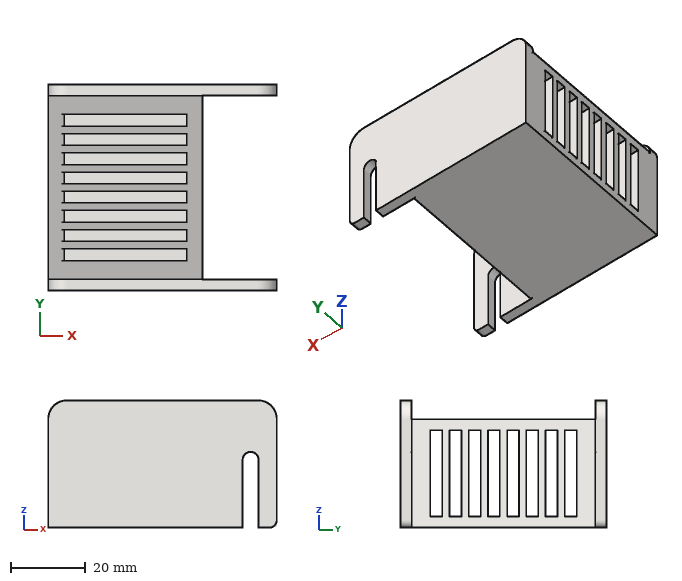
import cadquery as cq

length = 61.0
width = 55.0
height = 34.0
plate_thickness = 3.0
top_corner_radius = 5.0
bottom_corner_radius = 2.0

mount_slot_width = 4.2
mount_slot_center_x = 54.0
mount_slot_top_z = 20.2

wedge_length = 41.2
wedge_height = height - top_corner_radius

vent_count = 8
vent_width = 3.1
vent_pitch = 5.12
vent_bottom_z = 3.0
vent_top_z = 26.0


def make_side_plate(y_start):
    """Rounded plate standing in the XZ plane, occupying y_start to y_start + plate_thickness."""
    plate = cq.Workplane("XY").box(length, plate_thickness, height, centered=False)
    plate = plate.edges("|Y and >Z").fillet(top_corner_radius)
    plate = plate.edges("|Y and >X and <Z").fillet(bottom_corner_radius)
    return plate.translate((0, y_start, 0))


def make_wedge():
    """Right-triangular block, tall at X = 0 and running down to the base, across the full width."""
    return (
        cq.Workplane("XZ")
        .polyline([(0, 0), (wedge_length, 0), (0, wedge_height)])
        .close()
        .extrude(-width)
    )


def make_mount_slot():
    """Round-topped cutter, open at the base, crossing both plates."""
    radius = mount_slot_width / 2
    arc_z = mount_slot_top_z - radius
    return (
        cq.Workplane("XZ")
        .moveTo(mount_slot_center_x - radius, 0)
        .lineTo(mount_slot_center_x - radius, arc_z)
        .threePointArc(
            (mount_slot_center_x, mount_slot_top_z),
            (mount_slot_center_x + radius, arc_z),
        )
        .lineTo(mount_slot_center_x + radius, 0)
        .close()
        .extrude(-width)
    )


def make_vents():
    """Upright rectangular cutters, evenly spaced about mid-width, passing through the block along X."""
    first_y = width / 2 - vent_pitch * (vent_count - 1) / 2
    vents = cq.Workplane("XY")
    for index in range(vent_count):
        vent = cq.Workplane("XY").box(
            wedge_length, vent_width, vent_top_z - vent_bottom_z, centered=(False, True, False)
        )
        vents = vents.add(vent.translate((0, first_y + index * vent_pitch, vent_bottom_z)))
    return vents.combine()


result = (
    make_side_plate(0)
    .union(make_side_plate(width - plate_thickness))
    .union(make_wedge())
    .cut(make_mount_slot())
    .cut(make_vents())
)